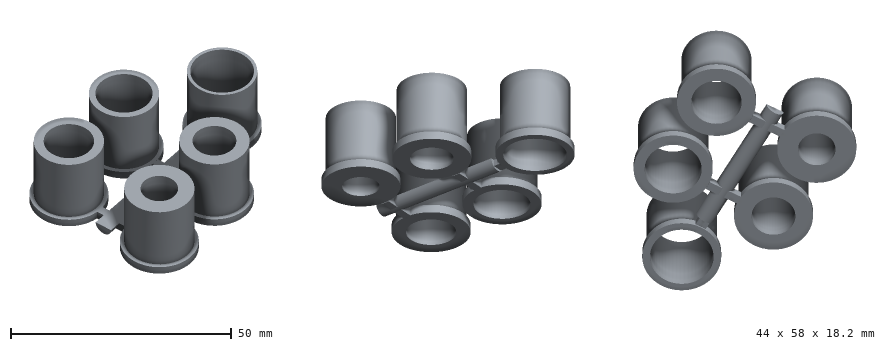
import cadquery as cq

total_height = 18.2
runner_radius = 2.2
runner_top = runner_radius

flange_diameter = 17.95
flange_height = 1.95
barrel_diameter = 16.0
flange_bottom = runner_top - flange_height
bushing_height = total_height - flange_bottom

column_spacing = 26.0
row_spacing = 20.4
end_bushing_offset = 19.6
column_x = column_spacing / 2
end_bushing_y = row_spacing + end_bushing_offset

bushing_places = [
    (-column_x, 0, 11.5),
    (column_x, 0, 8.5),
    (-column_x, row_spacing, 13.0),
    (column_x, row_spacing, 9.95),
    (0, end_bushing_y, 14.5),
]

runner_front_overhang = 4.0
runner_back_overhang = 8.75
side_branch_width = 2.0
side_branch_depth = 2.1
end_branch_width = 2.6
end_branch_depth = 1.6
runner_front_y = -runner_front_overhang
runner_back_y = row_spacing + runner_back_overhang


def make_bushing(x, y, bore_diameter):
    """Flanged bushing with its axis along Z."""
    flange = cq.Workplane("XY").circle(flange_diameter / 2).extrude(flange_height)
    barrel = cq.Workplane("XY").circle(barrel_diameter / 2).extrude(bushing_height)
    bore = cq.Workplane("XY").circle(bore_diameter / 2).extrude(bushing_height)
    return flange.union(barrel).cut(bore).translate((x, y, flange_bottom))


def make_bar(width_x, length_y, depth, center_y):
    """Rectangular bar on X = 0, hanging down from the top plane of the runner."""
    bar = cq.Workplane("XY").workplane(offset=runner_top).center(0, center_y)
    return bar.rect(width_x, length_y).extrude(-depth)


def make_half_round():
    """Half-round main bar of the runner, along Y."""
    profile = (
        cq.Workplane("XZ", origin=(0, runner_back_y, runner_top))
        .moveTo(-runner_radius, 0)
        .threePointArc((0, -runner_radius), (runner_radius, 0))
        .close()
    )
    return profile.extrude(runner_back_y - runner_front_y)


def make_runner():
    """Main bar with its branches, which end against the flanges."""
    runner = make_half_round()

    for row_y in (0, row_spacing):
        runner = runner.union(make_bar(column_spacing, side_branch_width, side_branch_depth, row_y))

    end_branch_length = end_bushing_y - runner_back_y
    end_branch_y = (end_bushing_y + runner_back_y) / 2
    runner = runner.union(make_bar(end_branch_width, end_branch_length, end_branch_depth, end_branch_y))

    for x, y, _ in bushing_places:
        flange_space = cq.Workplane("XY").center(x, y).circle(flange_diameter / 2).extrude(total_height)
        runner = runner.cut(flange_space)
    return runner


runner = make_runner()
bushings = [make_bushing(x, y, bore_diameter) for x, y, bore_diameter in bushing_places]

result = cq.Compound.makeCompound([runner.solids().val(), *[bushing.solids().val() for bushing in bushings]])